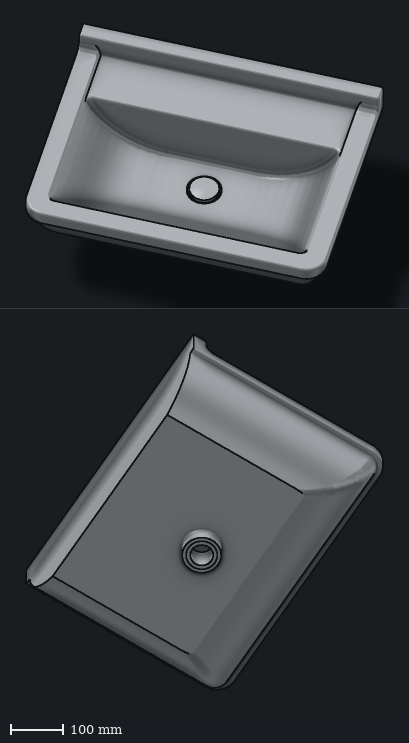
import cadquery as cq
import math

width = 600
depth = 450
bowl_height = 194.5
tail_length = 225.0 - bowl_height

upstand_height = 35.0
upstand_depth = 31.0
rim_thickness = 30
rim_corner_radius = 41.0
cove_radius = 18
outer_edge_radius = 6
rim_top = bowl_height - upstand_height
rim_bottom = rim_top - rim_thickness

bowl_inset = 13.0
bowl_foot_side = 204.5
bowl_foot_front = 315.5
bowl_front_radius = 156
bowl_side_radius = 159.5
bowl_corner_radius = 27.5
neck_radius = 4.0
underside_edge_radius = 4.0

inner_half_width = 258
floor_level = 32.0
floor_half_width = 84
basin_front = 410.5
front_floor = 384.5
basin_back = 137.5
back_floor = 141.0
basin_curve_radius = 182.5
basin_edge_radius = 14.5
shelf_drop = 10.0
shelf_overlap = 24
shelf_side_step = 0.05
upstand_half_width = 276
shelf_back_radius = 6
shelf_front_radius = 6
inner_edge_radius = 5.0
shelf_level = rim_top - shelf_drop

drain_y = -209.5
tail_diameter = 75.0
tail_root_radius = 6
drain_bore = 60
flange_diameter = 68.0
flange_thickness = 6
flange_mouth = 65.0
seat_depth = 3.5
waste_bore = 44.0
cap_diameter = 58.0
cap_edge_height = 5.0
cap_top_height = 9.5
seat_level = floor_level - seat_depth


def edges_within(low, high):
    """Selector for the edges that lie wholly between two opposite corner points."""
    slack = 0.05
    low_corner = tuple(value - slack for value in low)
    high_corner = tuple(value + slack for value in high)
    return cq.selectors.BoxSelector(low_corner, high_corner, boundingbox=True)


def rim():
    """Slab with rounded front corners and a coved upstand."""
    slab = (
        cq.Workplane("YZ")
        .moveTo(0, rim_bottom)
        .lineTo(-depth, rim_bottom)
        .lineTo(-depth, rim_top)
        .lineTo(-upstand_depth - cove_radius, rim_top)
        .radiusArc((-upstand_depth, rim_top + cove_radius), -cove_radius)
        .lineTo(-upstand_depth, bowl_height)
        .lineTo(0, bowl_height)
        .close()
        .extrude(width / 2, both=True)
    )
    slab = slab.edges("<Y and |Z").fillet(rim_corner_radius)
    return slab.faces("<Z").edges("not >Y").fillet(underside_edge_radius)


def bowl():
    """Solid underside where a curved front meets two curved sides."""
    top_half_width = width / 2 - bowl_inset
    top_front = bowl_inset - depth
    front_shape = (
        cq.Workplane("YZ")
        .moveTo(0, rim_bottom)
        .lineTo(top_front, rim_bottom)
        .radiusArc((-bowl_foot_front, 0), -bowl_front_radius)
        .lineTo(0, 0)
        .close()
        .extrude(width / 2, both=True)
    )
    side_shape = (
        cq.Workplane("XZ")
        .moveTo(top_half_width, rim_bottom)
        .lineTo(-top_half_width, rim_bottom)
        .radiusArc((-bowl_foot_side, 0), -bowl_side_radius)
        .lineTo(bowl_foot_side, 0)
        .radiusArc((top_half_width, rim_bottom), -bowl_side_radius)
        .close()
        .extrude(depth)
    )
    body = front_shape.intersect(side_shape)
    corners = cq.selectors.BoxSelector((-width, -depth, 6), (width, -bowl_foot_front, rim_bottom - 6))
    return body.edges(corners).fillet(bowl_corner_radius)


def hollow_profile(side_inset=0):
    """Full-depth prism with a flat floor and a curved side on either hand, open at the rim."""
    floor_edge = floor_half_width - side_inset
    curve_rise = bowl_height - floor_level
    curve_run = math.sqrt(curve_rise * (2 * basin_curve_radius - curve_rise))
    top_edge = floor_edge + curve_run
    return (
        cq.Workplane("XZ")
        .moveTo(-floor_edge, floor_level)
        .lineTo(floor_edge, floor_level)
        .radiusArc((top_edge, bowl_height), -basin_curve_radius)
        .lineTo(-top_edge, bowl_height)
        .radiusArc((-floor_edge, floor_level), -basin_curve_radius)
        .close()
        .extrude(depth)
    )


def basin_space():
    """Hollow with sloping front and back walls, rounded where they meet the floor and sides."""
    walls = (
        cq.Workplane("YZ")
        .moveTo(-basin_back, rim_top)
        .lineTo(-back_floor, floor_level)
        .lineTo(-front_floor, floor_level)
        .lineTo(-basin_front, rim_top)
        .close()
        .extrude(width / 2, both=True)
    )
    space = hollow_profile().intersect(walls)
    return space.faces("<Y or >Y").edges("not >Z").fillet(basin_edge_radius)


def shelf_space():
    """Shallow recess from the back to the basin.

    Its sides stand a hair inside those of the basin, so that the rounding of its
    front edge ends on them.
    """
    length = basin_back + shelf_overlap
    height = bowl_height - shelf_level
    block = cq.Workplane("XY").box(width, length, height, centered=(True, False, False))
    return hollow_profile(shelf_side_step).intersect(block.translate((0, -length, shelf_level)))


def upstand_wall():
    """Middle stretch of the upstand, which closes the back of the shelf recess."""
    return (
        cq.Workplane("YZ")
        .moveTo(0, shelf_level)
        .lineTo(-upstand_depth - shelf_back_radius, shelf_level)
        .radiusArc((-upstand_depth, shelf_level + shelf_back_radius), -shelf_back_radius)
        .lineTo(-upstand_depth, bowl_height)
        .lineTo(0, bowl_height)
        .close()
        .extrude(upstand_half_width, both=True)
    )


def drain_cylinder(diameter, bottom, top):
    base = cq.Workplane("XY", origin=(0, drain_y, bottom))
    return base.circle(diameter / 2).extrude(top - bottom)


def drain_circle(diameter, level):
    """Selector for the circular edge around the drain axis at one level."""
    radius = diameter / 2
    return edges_within((-radius, drain_y - radius, level), (radius, drain_y + radius, level))


def washbasin():
    """Ceramic body: rim, bowl and tail with the hollows and the drain bore cut out."""
    body = rim().union(bowl())
    neck = edges_within(
        (bowl_inset - width / 2, bowl_inset - depth, rim_bottom),
        (width / 2 - bowl_inset, 0, rim_bottom),
    )
    body = body.edges(neck).fillet(neck_radius)

    body = body.union(drain_cylinder(tail_diameter, -tail_length, floor_level / 2))
    body = body.edges(drain_circle(tail_diameter, 0)).fillet(tail_root_radius)

    body = body.cut(shelf_space()).cut(basin_space())
    shelf_front = edges_within(
        (-inner_half_width, -basin_back - shelf_overlap, shelf_level),
        (inner_half_width, -basin_back, shelf_level),
    )
    body = body.edges(shelf_front).edges(">Y").fillet(shelf_front_radius)
    inner_front = edges_within(
        (-inner_half_width, -basin_front, rim_top),
        (inner_half_width, -basin_front, rim_top),
    )
    body = body.edges(inner_front).fillet(inner_edge_radius)
    body = body.union(upstand_wall())
    upstand_edges = body.faces(">Z").edges("not >Y")
    outer_front = body.faces("<Y").edges(">Z")
    body = upstand_edges.add(outer_front).fillet(outer_edge_radius)

    flange_recess = drain_cylinder(flange_diameter, floor_level - flange_thickness, floor_level)
    return body.cut(drain_cylinder(drain_bore, -tail_length, floor_level)).cut(flange_recess)


def waste():
    """Pipe that lines the drain bore, with a flange flush with the floor around the cap."""
    flange_bottom = floor_level - flange_thickness
    return (
        cq.Workplane("XZ", origin=(0, drain_y, 0))
        .moveTo(waste_bore / 2, -tail_length)
        .lineTo(drain_bore / 2, -tail_length)
        .lineTo(drain_bore / 2, flange_bottom)
        .lineTo(flange_diameter / 2, flange_bottom)
        .lineTo(flange_diameter / 2, floor_level)
        .lineTo(flange_mouth / 2, floor_level)
        .lineTo(cap_diameter / 2, seat_level)
        .lineTo(waste_bore / 2, seat_level)
        .close()
        .revolve(360, (0, 0), (0, 1))
    )


def cap():
    """Domed cover that rests on the seat inside the waste flange."""
    edge_level = floor_level + cap_edge_height
    radius = cap_diameter / 2
    crown = cap_top_height - cap_edge_height
    dome_radius = (radius**2 + crown**2) / (2 * crown)
    return (
        cq.Workplane("XZ", origin=(0, drain_y, 0))
        .moveTo(0, seat_level)
        .lineTo(radius, seat_level)
        .lineTo(radius, edge_level)
        .radiusArc((0, edge_level + crown), -dome_radius)
        .close()
        .revolve(360, (0, 0), (0, 1))
    )


result = cq.Compound.makeCompound([washbasin().val(), waste().val(), cap().val()])